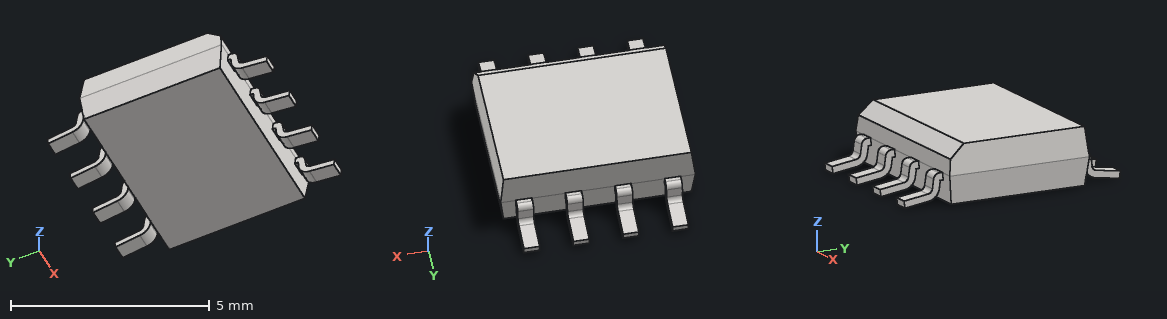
import cadquery as cq
import math

BODY_X = 5.0
BODY_Y = 4.0
HALF_HEIGHT = 0.775
DRAFT_INSET = 0.085
CHAMFER = 0.36

LEADS_PER_SIDE = 4
LEAD_PITCH = 1.27
LEAD_WIDTH = 0.41
LEAD_THICKNESS = 0.2
LEAD_SPAN = 6.2
LEAD_TILT = math.radians(8)
SHOULDER_LENGTH = 0.09
SHOULDER_RADIUS = 0.16
ANKLE_RADIUS = 0.15
LEG_LENGTH = 0.25
EMBED_DEPTH = 0.185


def make_body():
    draft_angle = math.degrees(math.atan2(DRAFT_INSET, HALF_HEIGHT))
    half = cq.Workplane("XY").rect(BODY_X, BODY_Y).extrude(HALF_HEIGHT, taper=draft_angle)
    lower = half.mirror("XY")
    upper = half.faces(">Z").edges("<Y").chamfer(CHAMFER)
    return upper.union(lower)


def arc_point(center, radius, angle):
    return (center[0] + radius * math.cos(angle), center[1] + radius * math.sin(angle))


def make_lead():
    """One lead on the +Y side, centred on X = 0."""
    sin_tilt = math.sin(LEAD_TILT)
    cos_tilt = math.cos(LEAD_TILT)
    body_side = BODY_Y / 2
    root_y = body_side - EMBED_DEPTH

    shoulder_end = (body_side + SHOULDER_LENGTH, 0)
    shoulder_center = (shoulder_end[0], -SHOULDER_RADIUS)
    shoulder_middle = arc_point(shoulder_center, SHOULDER_RADIUS, (math.pi / 2 + LEAD_TILT) / 2)
    leg_top = arc_point(shoulder_center, SHOULDER_RADIUS, LEAD_TILT)
    leg_end = (leg_top[0] + LEG_LENGTH * sin_tilt, leg_top[1] - LEG_LENGTH * cos_tilt)

    ankle_center = (leg_end[0] + ANKLE_RADIUS * cos_tilt, leg_end[1] + ANKLE_RADIUS * sin_tilt)
    leg_angle = math.pi + LEAD_TILT
    foot_angle = 1.5 * math.pi - LEAD_TILT
    middle_angle = (leg_angle + foot_angle) / 2
    foot_start = arc_point(ankle_center, ANKLE_RADIUS, foot_angle)
    toe_y = LEAD_SPAN / 2
    toe_top = (toe_y, foot_start[1] - (toe_y - foot_start[0]) * math.tan(LEAD_TILT))

    toe_bottom = (toe_y - LEAD_THICKNESS * sin_tilt, toe_top[1] - LEAD_THICKNESS * cos_tilt)
    heel_radius = ANKLE_RADIUS + LEAD_THICKNESS
    sole_start = arc_point(ankle_center, heel_radius, foot_angle)
    heel_middle = arc_point(ankle_center, heel_radius, middle_angle)
    heel_top = arc_point(ankle_center, heel_radius, leg_angle)
    corner_rise = -LEAD_THICKNESS - heel_top[1]
    inner_corner = (heel_top[0] - corner_rise * math.tan(LEAD_TILT), -LEAD_THICKNESS)

    return (
        cq.Workplane("YZ")
        .moveTo(root_y, 0)
        .lineTo(*shoulder_end)
        .threePointArc(shoulder_middle, leg_top)
        .lineTo(*leg_end)
        .threePointArc(arc_point(ankle_center, ANKLE_RADIUS, middle_angle), foot_start)
        .lineTo(*toe_top)
        .lineTo(*toe_bottom)
        .lineTo(*sole_start)
        .threePointArc(heel_middle, heel_top)
        .lineTo(*inner_corner)
        .lineTo(root_y, -LEAD_THICKNESS)
        .close()
        .extrude(LEAD_WIDTH / 2, both=True)
    )


result = make_body()
back_lead = make_lead()
front_lead = back_lead.mirror("XZ")
for index in range(LEADS_PER_SIDE):
    lead_x = (index - (LEADS_PER_SIDE - 1) / 2) * LEAD_PITCH
    for lead in (back_lead, front_lead):
        result = result.union(lead.translate((lead_x, 0, 0)))